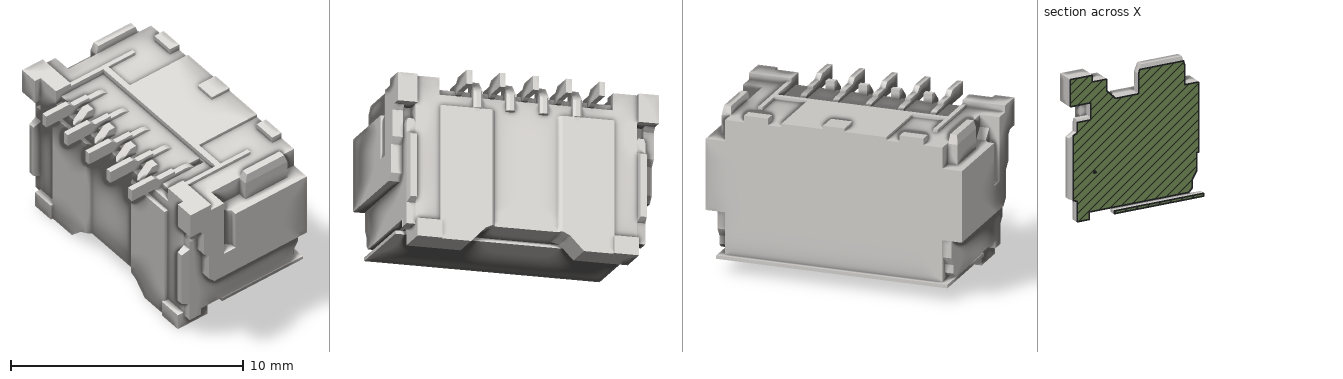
import cadquery as cq
import math


half_width = 5.9
body_half_width = 5.0
bay_half_width = 3.93

body_front = 0.31
body_back = 6.34
panel_front = 0.11
block_back = 1.12
foot_back = 1.62
ear_shoulder_back = 1.82
pocket_back = 2.89

body_bottom = 0.8
ear_bottom = 2.73
ear_top = 5.98
body_top = 6.95
deck_top = 7.1
block_top = 7.26
metal_top = 7.3

pocket_floor = 6.8
ledge_height = 6.49
ledge_back = 0.61

pin_count = 5
pin_pitch = 1.5
pin_width = 0.26
pin_slot_width = 0.32
hook_width = 0.4
hook_chamfer = 0.11

plate_outer = 5.39
plate_front = 0.34
tip_inset = 0.06
tip_inner = 5.05

ear_inner = 5.44
plate_recess_back = 1.0
ear_slot_bottom = 4.01
ear_slot_back = 2.44
ear_slot_corner = 0.2


def block(x0, x1, y0, y1, z0, z1):
    """Box between two opposite corners."""
    return cq.Workplane("XY").box(x1 - x0, y1 - y0, z1 - z0, centered=False).translate((x0, y0, z0))


def side_prism(points, x0, x1):
    """(Y, Z) outline extruded along X."""
    return cq.Workplane("YZ").workplane(offset=x0).polyline(points).close().extrude(x1 - x0)


def front_prism(points, y0, y1):
    """(X, Z) outline extruded along Y."""
    return cq.Workplane("XZ").workplane(offset=-y1).polyline(points).close().extrude(y1 - y0)


def top_prism(points, z0, z1):
    """(X, Y) outline extruded along Z."""
    return cq.Workplane("XY").workplane(offset=z0).polyline(points).close().extrude(z1 - z0)


def both_sides(solid):
    """The solid together with its mirror image in the YZ plane."""
    return solid.union(solid.mirror("YZ"))


def left_middle(outer, inner):
    """X halfway between two distances left of the middle plane."""
    return -(outer + inner) / 2


def make_body():
    """Housing core with its stepped roof and the open pin pocket."""
    tab_depth = 0.51
    center_tab_half_width, center_tab_depth = 0.5, 0.97
    tab_inner, tab_outer = 3.03, 4.13
    deck_half_width, deck_front_band = 2.42, 0.27
    rail_outer, rail_back = 4.13, 4.64

    core = block(-body_half_width, body_half_width, body_front, body_back, body_bottom, body_top)
    deck = block(-deck_half_width, deck_half_width, pocket_back, body_back, body_bottom, deck_top)
    band = block(-rail_outer, rail_outer, pocket_back, pocket_back + deck_front_band, body_bottom, deck_top)
    center_tab = block(-center_tab_half_width, center_tab_half_width,
                       body_back - center_tab_depth, body_back, body_bottom, block_top)
    body = core.union(deck).union(band).union(center_tab)

    rail = block(-rail_outer, -bay_half_width, body_front, rail_back, body_bottom, deck_top)
    rear_tab = block(-tab_outer, -tab_inner, body_back - tab_depth, body_back, body_bottom, block_top)
    body = body.union(both_sides(rail.union(rear_tab)))

    pocket = block(-bay_half_width, bay_half_width, 0, pocket_back, pocket_floor, block_top)
    ledge = block(-bay_half_width, bay_half_width, 0, ledge_back, ledge_height, block_top)
    return body.cut(pocket).cut(ledge)


def make_corner():
    """Tall block at the front left corner of the roof."""
    inner = block(-body_half_width, -bay_half_width, body_front, block_back, ear_top, block_top)
    outer = block(-half_width, -body_half_width, 0, block_back, ear_top, block_top)
    shoulder = block(-half_width, -body_half_width, 0, ear_shoulder_back, ear_top, body_top)
    return inner.union(outer).union(shoulder)


def make_ear():
    """Thick left side ear with a stepped front edge and a slot behind its shoulder."""
    upper_front, upper_chamfer = 0.73, 0.21
    step_top, step_bottom = 4.58, 4.3
    lower_chamfer = 0.3
    outline = [
        (body_back, ear_top),
        (upper_front - upper_chamfer, ear_top),
        (upper_front, ear_top - upper_chamfer),
        (upper_front, step_top),
        (plate_recess_back, step_bottom),
        (plate_recess_back, ear_bottom + lower_chamfer),
        (plate_recess_back + lower_chamfer, ear_bottom),
        (body_back, ear_bottom),
    ]
    ear = side_prism(outline, -half_width, -body_half_width)
    ear = ear.cut(block(-ear_inner, -body_half_width, 0, plate_recess_back, ear_bottom, ear_top))

    slot = [
        (-half_width, ear_shoulder_back),
        (-ear_inner, ear_shoulder_back),
        (-ear_inner, ear_slot_back - ear_slot_corner),
        (-ear_inner - ear_slot_corner, ear_slot_back),
        (-half_width, ear_slot_back),
    ]
    ear = ear.cut(top_prism(slot, ear_slot_bottom, ear_top))

    gusset_depth = ear_slot_back - ear_slot_corner - ear_shoulder_back
    gusset = [
        (ear_shoulder_back, ear_top),
        (ear_shoulder_back + gusset_depth, ear_top),
        (ear_shoulder_back, ear_top + gusset_depth),
    ]
    return ear.union(side_prism(gusset, -ear_inner, -body_half_width))


def make_panels():
    """Two raised front panels with slanted inner edges."""
    inner_front, inner_back = 1.58, 1.4
    outline = [
        (-bay_half_width, body_front),
        (-bay_half_width, panel_front),
        (-inner_front, panel_front),
        (-inner_back, body_front),
    ]
    return both_sides(top_prism(outline, body_bottom, ear_top))


def make_feet():
    """Front feet, parted by an arch, with a toe at each outer corner."""
    toe_inner = 3.88
    heel_chamfer = 0.19
    outline = [
        (panel_front, 0),
        (foot_back, 0),
        (foot_back, body_bottom - heel_chamfer),
        (foot_back + heel_chamfer, body_bottom),
        (panel_front, body_bottom),
    ]
    bar = side_prism(outline, -body_half_width, body_half_width)
    toe = block(-body_half_width, -toe_inner, 0, foot_back, 0, body_bottom)

    arch_foot, arch_knee, arch_top, knee_height = 2.55, 1.91, 1.58, 0.65
    arch = [
        (-arch_foot, 0),
        (-arch_knee, knee_height),
        (-arch_top, body_bottom),
        (arch_top, body_bottom),
        (arch_knee, knee_height),
        (arch_foot, 0),
    ]
    return bar.union(both_sides(toe)).cut(front_prism(arch, 0, body_back))


def make_bottom_plate():
    """Thin plate under the housing, reaching past its back face."""
    half_span, front, back, thickness = 5.32, 2.16, 6.58, 0.15
    return block(-half_span, half_span, front, back, body_bottom - thickness, body_bottom)


def make_side_plate():
    """Left metal plate with a front post, a tapered front blade and a tapered top tab."""
    post_top, post_chamfer, post_back = 5.33, 0.19, 1.19
    plate_bottom, sheet_bottom = 0.61, 0.95
    sheet_back, notch_back = 6.24, 6.02
    notch_slope_top, notch_slope_bottom = 1.91, 1.53
    corner_chamfer = 0.19
    leg_back = 0.97
    sheet_outline = [
        (plate_front, ear_bottom),
        (sheet_back, ear_bottom),
        (sheet_back, notch_slope_top),
        (notch_back, notch_slope_bottom),
        (notch_back, sheet_bottom + corner_chamfer),
        (notch_back - corner_chamfer, sheet_bottom),
        (leg_back, sheet_bottom),
        (leg_back, plate_bottom),
        (plate_front, plate_bottom),
    ]
    sheet = side_prism(sheet_outline, -plate_outer, -body_half_width)

    post_outline = [
        (-plate_outer, sheet_bottom),
        (-plate_outer, post_top - post_chamfer),
        (-plate_outer + tip_inset, post_top),
        (-body_half_width - tip_inset, post_top),
        (-body_half_width, post_top - post_chamfer),
        (-body_half_width, sheet_bottom),
    ]
    post = front_prism(post_outline, plate_front, post_back)

    blade_low, blade_high, blade_slope, blade_tip = 1.56, 4.72, 0.18, -0.05
    blade_length = blade_high - blade_low
    blade_height = (blade_low + blade_high) / 2
    blade_middle = left_middle(plate_outer, body_half_width)
    blade_tip_outer = plate_outer - tip_inset
    blade = (
        cq.Workplane("XZ", origin=(blade_middle, plate_front, blade_height))
        .rect(plate_outer - body_half_width, blade_length)
        .workplane(offset=plate_front - blade_tip)
        .center(left_middle(blade_tip_outer, tip_inner) - blade_middle, 0)
        .rect(blade_tip_outer - tip_inner, blade_length - 2 * blade_slope)
        .loft()
    )

    tab_front, tab_back, tab_slope, tab_shoulder = 3.36, 5.64, 0.13, 6.9
    tab_outer = 5.43
    tab_length = tab_back - tab_front
    tab_middle = left_middle(tab_outer, body_half_width)
    tab_tip_outer = tab_outer - tip_inset
    tab = block(-tab_outer, -body_half_width, tab_front, tab_back, ear_bottom, tab_shoulder)
    tab_tip = (
        cq.Workplane("XY", origin=(tab_middle, (tab_front + tab_back) / 2, tab_shoulder))
        .rect(tab_outer - body_half_width, tab_length)
        .workplane(offset=metal_top - tab_shoulder)
        .center(left_middle(tab_tip_outer, tip_inner) - tab_middle, 0)
        .rect(tab_tip_outer - tip_inner, tab_length - 2 * tab_slope)
        .loft()
    )
    return sheet.union(post).union(blade).union(tab).union(tab_tip)


def make_pin(x):
    """Contact pin: a straight tail, a downward jog and a rounded inner end that dives into the housing."""
    tail_end, tail_bottom = -1.05, 6.68
    jog_front, jog_back = 0.2, 0.46
    step_back = 1.31
    upper_top, lower_top, inner_bottom = 7.09, 6.96, 6.58
    bend_start, bend_radius = 1.85, 0.73
    bend_center_height = lower_top - bend_radius
    bend_reach = bend_radius * math.sqrt(0.5)
    outline = (
        cq.Workplane("YZ", origin=(x - pin_width / 2, 0, 0))
        .moveTo(tail_end, tail_bottom)
        .lineTo(tail_end, metal_top)
        .lineTo(jog_front, metal_top)
        .lineTo(jog_back, upper_top)
        .lineTo(step_back, upper_top)
        .lineTo(step_back, lower_top)
        .lineTo(bend_start, lower_top)
        .threePointArc((bend_start + bend_reach, bend_center_height + bend_reach),
                       (bend_start + bend_radius, bend_center_height))
        .lineTo(bend_start, bend_center_height)
        .lineTo(bend_start, inner_bottom)
        .lineTo(jog_back, inner_bottom)
        .lineTo(jog_front, tail_bottom)
        .close()
    )
    return outline.extrude(pin_width)


def make_hook(x):
    """Hook over the front edge, with a sloped front and chamfered corners."""
    top_front, back, lip = 0.59, 0.88, 6.68
    outline = [
        (0, ear_top),
        (0, lip),
        (top_front, block_top),
        (back, block_top),
        (back, ear_top),
    ]
    half = hook_width / 2
    plan = [
        (x - half, back),
        (x - half, hook_chamfer),
        (x - half + hook_chamfer, 0),
        (x + half - hook_chamfer, 0),
        (x + half, hook_chamfer),
        (x + half, back),
    ]
    return side_prism(outline, x - half, x + half).intersect(top_prism(plan, ear_top, block_top))


left_side = make_corner().union(make_ear()).union(make_side_plate())
result = make_body().union(make_panels()).union(make_feet()).union(make_bottom_plate())
result = result.union(both_sides(left_side))

last_pin_x = pin_pitch * (pin_count - 1) / 2
pin_slot_back = 2.85
pin_slot = block(last_pin_x - pin_slot_width / 2, last_pin_x + pin_slot_width / 2,
                 0, pin_slot_back, ledge_height, block_top)
result = result.cut(pin_slot)

for index in range(pin_count):
    result = result.union(make_pin(last_pin_x - index * pin_pitch))

for index in range(pin_count - 1):
    result = result.union(make_hook(last_pin_x - (index + 0.5) * pin_pitch))